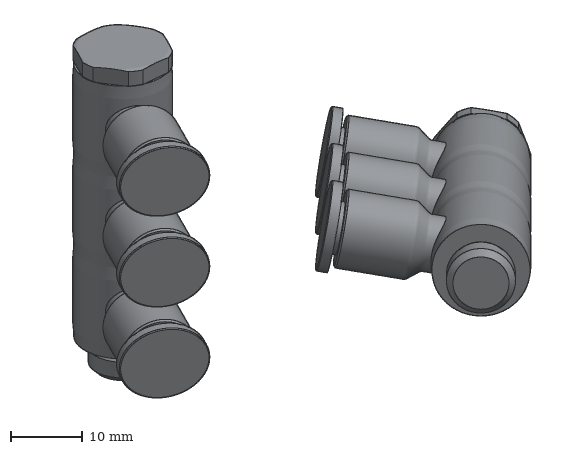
import cadquery as cq

total_height = 51.0
total_length = 29.45
module_count = 3

module_height = 14.5
body_diameter = 14.0
body_radius = body_diameter / 2
band_height = 2.05
band_taper = 0.13

head_height = 2.5
head_across_flats = 13.05
head_top_radius = 6.5
head_chamfer_drop = 0.15
head_turn_angle = 30

stud_radius = 4.85
stud_neck_radius = 4.15
stud_root_radius = 4.3
stud_root_height = 0.4
stud_neck_height = 0.45
stud_shoulder_height = 0.75
stud_tip_chamfer = 0.9

outlet_neck_radius = 4.1
outlet_radius = 5.6
groove_radius = 3.75
cone_start = 7.9
cone_end = 9.9
sleeve_end = 20.05
collar_start = 20.8
outlet_reach = total_length - body_radius
cone_start_blend = 0.8
cone_end_blend = 0.8
sleeve_chamfer = 0.25

collar_half_width = 6.6
collar_half_height = 5.5
collar_chamfer = 0.15

body_height = module_count * module_height
stud_height = total_height - head_height - body_height
body_bottom = stud_height
body_top = body_bottom + body_height


def make_module(bottom):
    """Cylinder whose two end bands taper slightly towards the joints."""
    end_radius = body_radius - band_taper
    return (
        cq.Workplane("XZ")
        .moveTo(0, 0)
        .lineTo(end_radius, 0)
        .lineTo(body_radius, band_height)
        .lineTo(body_radius, module_height - band_height)
        .lineTo(end_radius, module_height)
        .lineTo(0, module_height)
        .close()
        .revolve(360, (0, 0, 0), (0, 1, 0))
        .translate((0, 0, bottom))
    )


def make_head():
    """Hexagon with flats facing +Y and -Y, its corners turned down to the body radius."""
    hexagon = (
        cq.Workplane("XY")
        .polygon(6, head_across_flats, circumscribed=True)
        .extrude(head_height)
        .rotate((0, 0, 0), (0, 0, 1), head_turn_angle)
    )
    turned_blank = (
        cq.Workplane("XZ")
        .moveTo(0, 0)
        .lineTo(body_radius, 0)
        .lineTo(body_radius, head_height - head_chamfer_drop)
        .lineTo(head_top_radius, head_height)
        .lineTo(0, head_height)
        .close()
        .revolve(360, (0, 0, 0), (0, 1, 0))
    )
    return hexagon.intersect(turned_blank).translate((0, 0, body_top))


def make_stud():
    """Stud with a chamfered tip and a relief neck below the body."""
    neck_top = stud_height - stud_root_height
    neck_bottom = neck_top - stud_neck_height
    shoulder_bottom = neck_bottom - stud_shoulder_height
    return (
        cq.Workplane("XZ")
        .moveTo(0, 0)
        .lineTo(stud_radius - stud_tip_chamfer, 0)
        .lineTo(stud_radius, stud_tip_chamfer)
        .lineTo(stud_radius, shoulder_bottom)
        .lineTo(stud_neck_radius, neck_bottom)
        .lineTo(stud_neck_radius, neck_top)
        .lineTo(stud_root_radius, stud_height)
        .lineTo(0, stud_height)
        .close()
        .revolve(360, (0, 0, 0), (0, 1, 0))
    )


def make_outlet(axis_height):
    """Neck, blended cone and sleeve, followed by a groove and the oval collar."""
    neck_and_sleeve = (
        cq.Workplane("XZ")
        .moveTo(0, 0)
        .lineTo(0, outlet_neck_radius)
        .lineTo(cone_start, outlet_neck_radius)
        .lineTo(cone_end, outlet_radius)
        .lineTo(sleeve_end - sleeve_chamfer, outlet_radius)
        .lineTo(sleeve_end, outlet_radius - sleeve_chamfer)
        .lineTo(sleeve_end, groove_radius)
        .lineTo(collar_start, groove_radius)
        .lineTo(collar_start, 0)
        .close()
        .revolve(360, (0, 0, 0), (1, 0, 0))
    )
    for position, blend in ((cone_start, cone_start_blend), (cone_end, cone_end_blend)):
        bend_edge = cq.selectors.NearestToPointSelector((position, 0, 0))
        neck_and_sleeve = neck_and_sleeve.edges("%CIRCLE").edges(bend_edge).fillet(blend)
    collar = (
        cq.Workplane("YZ", origin=(collar_start, 0, 0))
        .ellipse(collar_half_width, collar_half_height)
        .extrude(outlet_reach - collar_start)
        .faces(">X")
        .chamfer(collar_chamfer)
    )
    return neck_and_sleeve.union(collar).translate((0, 0, axis_height))


result = make_stud().union(make_head())
for index in range(module_count):
    module_bottom = body_bottom + index * module_height
    result = result.union(make_module(module_bottom))
    result = result.union(make_outlet(module_bottom + module_height / 2))